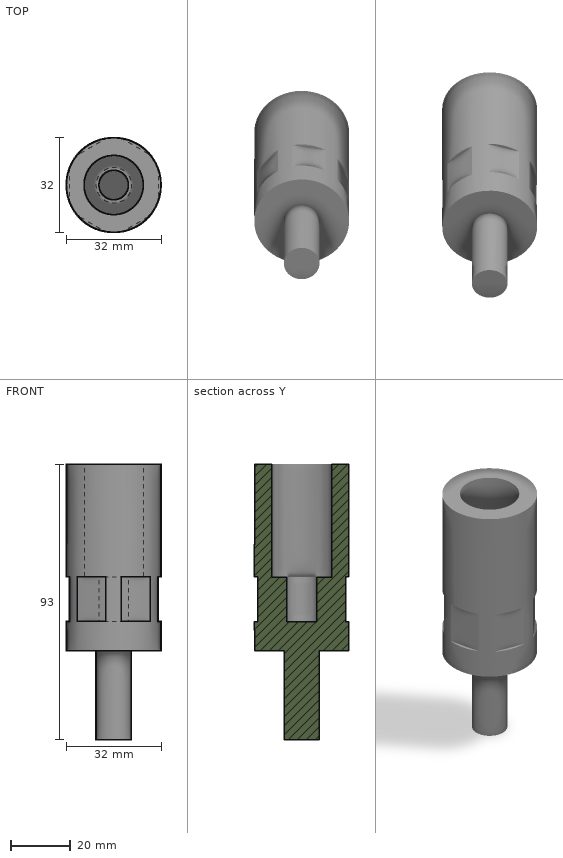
import cadquery as cq

total_length = 93.0
body_diameter = 32.0
shank_diameter = 12.0
shank_length = 30.0

collar_height = 9.95
flats_height = 15.0
across_flats = 29.9
flat_count = 6

bore_diameter = 20.0
pilot_diameter = 9.95

flats_bottom = shank_length + collar_height
flats_top = flats_bottom + flats_height
bore_floor = flats_top
pilot_floor = flats_bottom


def cylinder(diameter, bottom, top):
    """Cylinder on the Z axis between two levels."""
    return cq.Workplane("XY").workplane(offset=bottom).circle(diameter / 2).extrude(top - bottom)


def flat_cutter(angle):
    """Block that removes the material outside one wrench flat."""
    block = cq.Workplane("XY").box(
        body_diameter, body_diameter, flats_height, centered=(False, True, False)
    )
    placed = block.translate((across_flats / 2, 0, flats_bottom))
    return placed.rotate((0, 0, 0), (0, 0, 1), angle)


body = cylinder(shank_diameter, 0, shank_length)
body = body.union(cylinder(body_diameter, shank_length, total_length))

for index in range(flat_count):
    body = body.cut(flat_cutter(index * 360 / flat_count))

body = body.cut(cylinder(bore_diameter, bore_floor, total_length))
result = body.cut(cylinder(pilot_diameter, pilot_floor, bore_floor))